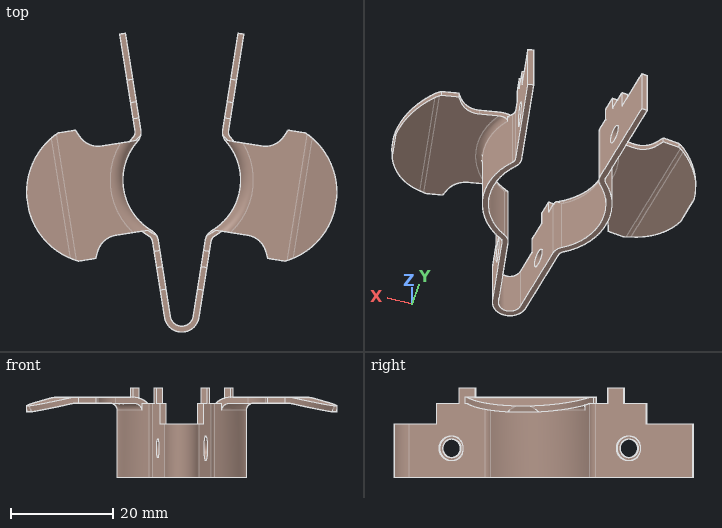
import math

import cadquery as cq


SHEET = 1.2
LEAN_ANGLE = 9.0

ARM_INNER_X = 6.37
ARM_OUTER_X = ARM_INNER_X + SHEET
ARM_LENGTH = 29.86
SADDLE_INNER_R = 11.5
SADDLE_OUTER_R = SADDLE_INNER_R + SHEET
SADDLE_Y = -0.2
ARM_BEND_R = 1.4
CLIP_BACK_Y = -29.9

STRIP_HEIGHT = 10.5
SHOULDER_HEIGHT = 14.5
TAB_HEIGHT = 17.53
SHOULDER_END_Y = 20.75
TAB_START_Y = 13.1
TAB_END_Y = 16.3

HOLE_Z = 5.7
HOLE_SPACING = 35.05
HOLE_MIDDLE_Y = -0.3
LEFT_HOLE_DIAMETER = 3.6
RIGHT_HOLE_DIAMETER = 4.8

WING_TOP_Z = SHOULDER_HEIGHT + SHEET
FLARE_INNER_R = 1.3
FLARE_OUTER_R = FLARE_INNER_R + SHEET
FLARE_Z = WING_TOP_Z - FLARE_OUTER_R
FLARE_END_R = SADDLE_OUTER_R + FLARE_INNER_R
NECK_HALF_WIDTH = 8.85
WING_HALF_WIDTH = 12.7
NOTCH_R = 4.3
NOTCH_SIDE_ANGLE = 65.0
NOTCH_CORNER_X = 19.0
WING_RIM_R = 14.0
WING_RIM_CENTRE_X = 16.52

FOLD_START_X = 22.8
FOLD_ANGLE = 13.6
FOLD_TOP_R = 4.7
TIP_TRIM = 0.06
WING_TIP_X = WING_RIM_CENTRE_X + WING_RIM_R - TIP_TRIM

LEAN_SIN = math.sin(math.radians(LEAN_ANGLE))
LEAN_COS = math.cos(math.radians(LEAN_ANGLE))
U_OUTER_R = (ARM_OUTER_X + CLIP_BACK_Y * LEAN_SIN) / (1 - LEAN_SIN)
U_INNER_R = U_OUTER_R - SHEET
U_CENTRE_Y = CLIP_BACK_Y + U_OUTER_R
ARM_FRONT_Y = U_CENTRE_Y * LEAN_COS

BEND_X = ARM_OUTER_X + ARM_BEND_R
BEND_ANGLE = math.acos(BEND_X / (SADDLE_OUTER_R + ARM_BEND_R))
BEND_Y = (SADDLE_OUTER_R + ARM_BEND_R) * math.sin(BEND_ANGLE)


def polar(radius, angle):
    return (radius * math.cos(angle), radius * math.sin(angle))


def on_saddle(radius, angle):
    dx, dy = polar(radius, angle)
    return (dx, SADDLE_Y + dy)


def on_arm_bend(radius, side, angle):
    """Point on the rear (side +1) or front (side -1) bend; angle runs from arm to saddle."""
    dx, dy = polar(radius, angle)
    return (BEND_X - dx, SADDLE_Y + side * (BEND_Y - dy))


def wall_strip():
    """Arms and saddle at full height, as one bent strip."""
    inside_bend_r = ARM_BEND_R + SHEET
    half_bend = BEND_ANGLE / 2
    front_bend_y = SADDLE_Y - BEND_Y
    rear_bend_y = SADDLE_Y + BEND_Y
    return (
        cq.Workplane("XY")
        .moveTo(ARM_OUTER_X, ARM_FRONT_Y)
        .lineTo(ARM_OUTER_X, front_bend_y)
        .threePointArc(on_arm_bend(ARM_BEND_R, -1, half_bend), on_saddle(SADDLE_OUTER_R, -BEND_ANGLE))
        .threePointArc(on_saddle(SADDLE_OUTER_R, 0), on_saddle(SADDLE_OUTER_R, BEND_ANGLE))
        .threePointArc(on_arm_bend(ARM_BEND_R, 1, half_bend), (ARM_OUTER_X, rear_bend_y))
        .lineTo(ARM_OUTER_X, ARM_LENGTH)
        .lineTo(ARM_INNER_X, ARM_LENGTH)
        .lineTo(ARM_INNER_X, rear_bend_y)
        .threePointArc(on_arm_bend(inside_bend_r, 1, half_bend), on_saddle(SADDLE_INNER_R, BEND_ANGLE))
        .threePointArc(on_saddle(SADDLE_INNER_R, 0), on_saddle(SADDLE_INNER_R, -BEND_ANGLE))
        .threePointArc(on_arm_bend(inside_bend_r, -1, half_bend), (ARM_INNER_X, front_bend_y))
        .lineTo(ARM_INNER_X, ARM_FRONT_Y)
        .close()
        .extrude(TAB_HEIGHT)
    )


def block(x_range, y_range, z_range):
    """Box spanning the given ranges."""
    ranges = (x_range, y_range, z_range)
    sizes = [high - low for low, high in ranges]
    corner = tuple(low for low, _ in ranges)
    return cq.Workplane("XY").box(*sizes, centered=False).translate(corner)


def height_envelope():
    """Stepped silhouette that trims the top of the wall strip."""
    x_range = (0, SADDLE_OUTER_R + SHEET)
    shoulder_span = (-SHOULDER_END_Y, SHOULDER_END_Y)
    envelope = block(x_range, (ARM_FRONT_Y, ARM_LENGTH), (0, STRIP_HEIGHT))
    envelope = envelope.union(block(x_range, shoulder_span, (0, SHOULDER_HEIGHT)))
    for tab_span in ((TAB_START_Y, TAB_END_Y), (-TAB_END_Y, -TAB_START_Y)):
        envelope = envelope.union(block(x_range, tab_span, (0, TAB_HEIGHT)))
    neck_span = (-NECK_HALF_WIDTH, NECK_HALF_WIDTH)
    return envelope.cut(block(x_range, neck_span, (FLARE_Z, TAB_HEIGHT)))


def around_saddle(section):
    """Turn a radial section about the saddle axis."""
    return section.revolve(360, (0, 0, 0), (0, 1, 0)).translate((0, SADDLE_Y, 0))


def on_flare(radius, angle):
    """Point of the flare section; angle runs from the saddle wall up to the wing."""
    dx, dz = polar(radius, angle)
    return (FLARE_END_R - dx, FLARE_Z + dz)


def flare():
    """Quarter-round lip turning the saddle outwards into the wing."""
    section = (
        cq.Workplane("XZ")
        .moveTo(SADDLE_INNER_R, FLARE_Z)
        .threePointArc(on_flare(FLARE_OUTER_R, math.pi / 4), (FLARE_END_R, WING_TOP_Z))
        .lineTo(FLARE_END_R, SHOULDER_HEIGHT)
        .threePointArc(on_flare(FLARE_INNER_R, math.pi / 4), (SADDLE_OUTER_R, FLARE_Z))
        .close()
    )
    neck_span = (-NECK_HALF_WIDTH, NECK_HALF_WIDTH)
    return around_saddle(section).intersect(block((0, FLARE_END_R), neck_span, (0, TAB_HEIGHT)))


def shoulder_rounding():
    """Cutter that carries the flare's rounded inner edge over the shoulders beside the neck."""
    shoulder_angle = math.asin((SHOULDER_HEIGHT - FLARE_Z) / FLARE_OUTER_R)
    section = (
        cq.Workplane("XZ")
        .moveTo(SADDLE_INNER_R, FLARE_Z)
        .threePointArc(
            on_flare(FLARE_OUTER_R, shoulder_angle / 2), on_flare(FLARE_OUTER_R, shoulder_angle)
        )
        .lineTo(SADDLE_INNER_R - SHEET, SHOULDER_HEIGHT)
        .lineTo(SADDLE_INNER_R - SHEET, FLARE_Z)
        .close()
    )
    shoulder_span = (-TAB_START_Y, TAB_START_Y)
    return around_saddle(section).intersect(block((0, FLARE_END_R), shoulder_span, (0, TAB_HEIGHT)))


def wing_sheet():
    """Flat sheet with its outer end folded down, wider than the wing."""
    fold = math.radians(FOLD_ANGLE)
    fold_centre_z = WING_TOP_Z - FOLD_TOP_R
    fold_bottom_r = FOLD_TOP_R - SHEET

    def on_fold(radius, angle):
        return (FOLD_START_X + radius * math.sin(angle), fold_centre_z + radius * math.cos(angle))

    fold_end_x, fold_end_z = on_fold(FOLD_TOP_R, fold)
    tip_z = fold_end_z - (WING_TIP_X - fold_end_x) * math.tan(fold)
    tip_bottom = (WING_TIP_X - SHEET * math.sin(fold), tip_z - SHEET * math.cos(fold))
    return (
        cq.Workplane("XZ")
        .moveTo(0, WING_TOP_Z)
        .lineTo(FOLD_START_X, WING_TOP_Z)
        .threePointArc(on_fold(FOLD_TOP_R, fold / 2), (fold_end_x, fold_end_z))
        .lineTo(WING_TIP_X, tip_z)
        .lineTo(*tip_bottom)
        .lineTo(*on_fold(fold_bottom_r, fold))
        .threePointArc(on_fold(fold_bottom_r, fold / 2), (FOLD_START_X, SHOULDER_HEIGHT))
        .lineTo(0, SHOULDER_HEIGHT)
        .close()
        .extrude(WING_HALF_WIDTH, both=True)
    )


def wing_outline():
    """Plan shape of the wing: narrow neck, rounded notches and a round rim."""
    rim_start_x = WING_RIM_CENTRE_X + math.sqrt(WING_RIM_R ** 2 - WING_HALF_WIDTH ** 2)
    side_angle = math.radians(NOTCH_SIDE_ANGLE)
    side_foot_x = NOTCH_CORNER_X - (WING_HALF_WIDTH - NECK_HALF_WIDTH) / math.tan(side_angle)
    notch_start_x = side_foot_x - NOTCH_R * math.tan(side_angle / 2)

    def on_notch(side, angle):
        x = notch_start_x + NOTCH_R * math.sin(angle)
        return (x, side * (NECK_HALF_WIDTH + NOTCH_R * (1 - math.cos(angle))))

    return (
        cq.Workplane("XY")
        .moveTo(0, -NECK_HALF_WIDTH)
        .lineTo(notch_start_x, -NECK_HALF_WIDTH)
        .threePointArc(on_notch(-1, side_angle / 2), on_notch(-1, side_angle))
        .lineTo(NOTCH_CORNER_X, -WING_HALF_WIDTH)
        .lineTo(rim_start_x, -WING_HALF_WIDTH)
        .threePointArc((WING_RIM_CENTRE_X + WING_RIM_R, 0), (rim_start_x, WING_HALF_WIDTH))
        .lineTo(NOTCH_CORNER_X, WING_HALF_WIDTH)
        .lineTo(*on_notch(1, side_angle))
        .threePointArc(on_notch(1, side_angle / 2), (notch_start_x, NECK_HALF_WIDTH))
        .lineTo(0, NECK_HALF_WIDTH)
        .close()
        .extrude(TAB_HEIGHT)
        .cut(cq.Workplane("XY").center(0, SADDLE_Y).circle(FLARE_END_R).extrude(TAB_HEIGHT))
    )


def arm_holes(diameter):
    """Round cutters square to the arms, one per arm."""
    return (
        cq.Workplane("YZ")
        .center(HOLE_MIDDLE_Y, HOLE_Z)
        .pushPoints([(-HOLE_SPACING / 2, 0), (HOLE_SPACING / 2, 0)])
        .circle(diameter / 2)
        .extrude(SADDLE_OUTER_R)
    )


def clip_half(hole_diameter):
    """Right-hand half of the clip, turned about Z to open the arms."""
    wall = wall_strip().intersect(height_envelope())
    wall = wall.cut(shoulder_rounding()).cut(arm_holes(hole_diameter))
    wing = wing_sheet().intersect(wing_outline())
    half = wall.union(flare()).union(wing)
    return half.rotate((0, 0, 0), (0, 0, 1), -LEAN_ANGLE)


def u_bend():
    """Half-round spring bend joining the front ends of the two arms."""
    lean = math.radians(LEAN_ANGLE)

    def on_bend(radius, angle):
        dx, dy = polar(radius, angle)
        return (dx, U_CENTRE_Y + dy)

    right = -lean
    left = math.pi + lean
    bottom = -math.pi / 2
    return (
        cq.Workplane("XY")
        .moveTo(*on_bend(U_OUTER_R, left))
        .threePointArc(on_bend(U_OUTER_R, bottom), on_bend(U_OUTER_R, right))
        .lineTo(*on_bend(U_INNER_R, right))
        .threePointArc(on_bend(U_INNER_R, bottom), on_bend(U_INNER_R, left))
        .close()
        .extrude(STRIP_HEIGHT)
    )


right_half = clip_half(RIGHT_HOLE_DIAMETER)
left_half = clip_half(LEFT_HOLE_DIAMETER).mirror("YZ")
result = right_half.union(u_bend()).union(left_half)